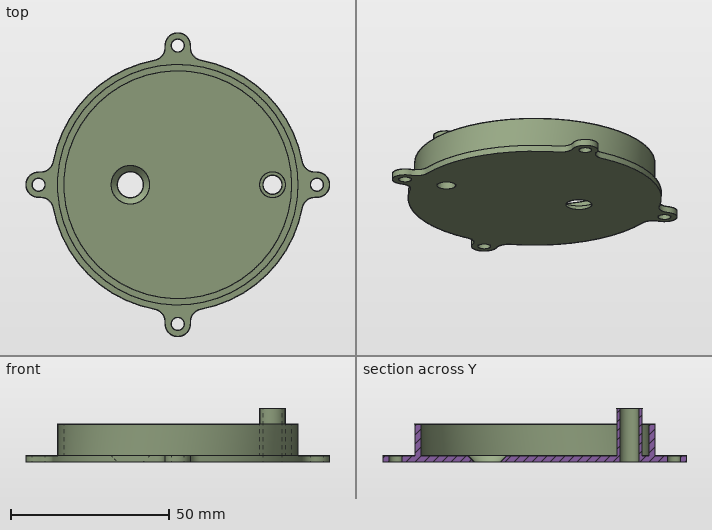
import cadquery as cq
import math

overall_width = 96.0
flange_thickness = 2.0
flange_radius = 40.0
wall_outer_diameter = 76.0
wall_inner_diameter = 72.0
wall_top = 12.0

lug_radius = 4.0
lug_hole_diameter = 4.0
lug_fillet_radius = 4.0
lug_count = 4

tube_x = 30.0
tube_outer_diameter = 8.2
tube_bore_diameter = 6.0
tube_top = 17.0

drain_x = -15.0
drain_diameter = 8.2
drain_rim_diameter = 12.2

lug_center = overall_width / 2 - lug_radius


def cylinder(diameter, height, x=0.0):
    """Upright cylinder standing on the bottom plane."""
    return cq.Workplane("XY").center(x, 0).circle(diameter / 2).extrude(height)


def lug():
    """Round-ended ear along +X whose root blends into the flange rim."""
    fillet_y = lug_radius + lug_fillet_radius
    fillet_center_distance = flange_radius + lug_fillet_radius
    fillet_x = math.sqrt(fillet_center_distance**2 - fillet_y**2)
    rim_ratio = flange_radius / fillet_center_distance
    rim_x = fillet_x * rim_ratio
    rim_y = fillet_y * rim_ratio

    rim_angle = math.atan2(-fillet_y, -fillet_x) % (2 * math.pi)
    middle_angle = (rim_angle + 1.5 * math.pi) / 2
    middle_x = fillet_x + lug_fillet_radius * math.cos(middle_angle)
    middle_y = fillet_y + lug_fillet_radius * math.sin(middle_angle)

    return (
        cq.Workplane("XY")
        .moveTo(0, 0)
        .lineTo(rim_x, rim_y)
        .threePointArc((middle_x, middle_y), (fillet_x, lug_radius))
        .lineTo(lug_center, lug_radius)
        .threePointArc((overall_width / 2, 0), (lug_center, -lug_radius))
        .lineTo(fillet_x, -lug_radius)
        .threePointArc((middle_x, -middle_y), (rim_x, -rim_y))
        .close()
        .extrude(flange_thickness)
    )


def drain_cutter():
    """Cone that widens from the bottom of the floor to its top."""
    return (
        cq.Workplane("XY")
        .center(drain_x, 0)
        .circle(drain_diameter / 2)
        .workplane(offset=flange_thickness)
        .circle(drain_rim_diameter / 2)
        .loft()
    )


body = cylinder(2 * flange_radius, flange_thickness)
for index in range(lug_count):
    body = body.union(lug().rotate((0, 0, 0), (0, 0, 1), index * 360 / lug_count))

wall = cylinder(wall_outer_diameter, wall_top).cut(cylinder(wall_inner_diameter, wall_top))
body = body.union(wall).union(cylinder(tube_outer_diameter, tube_top, tube_x))

lug_holes = (
    cq.Workplane("XY")
    .polarArray(lug_center, 0, 360, lug_count)
    .circle(lug_hole_diameter / 2)
    .extrude(flange_thickness)
)
result = body.cut(lug_holes).cut(cylinder(tube_bore_diameter, tube_top, tube_x)).cut(drain_cutter())